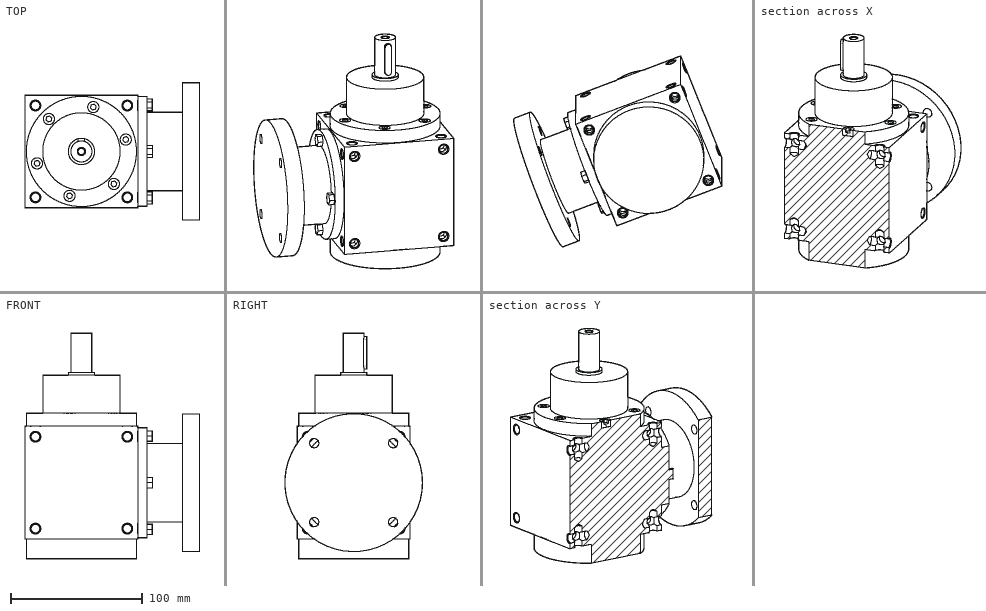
import cadquery as cq
import math


CUBE_SIZE = 86.0
HALF_CUBE = CUBE_SIZE / 2

COVER_DIAMETER = 84.0
TOP_COVER_HEIGHT = 10.0
BOTTOM_COVER_HEIGHT = 15.0
SIDE_PLATE_THICKNESS = 7.0

BOSS_DIAMETER = 59.0
BOSS_HEIGHT = 29.0
COLLAR_DIAMETER = 20.0
COLLAR_HEIGHT = 2.0
SHAFT_DIAMETER = 16.0
SHAFT_LENGTH = 30.0
CENTER_HOLE_DIAMETER = 4.92
CENTER_HOLE_DEPTH = 16.0
CENTER_HOLE_MOUTH = 6.3
KEY_WIDTH = 5.0
KEY_LENGTH = 25.0
KEY_HEIGHT = 5.0
KEY_PROTRUSION = 2.0
KEY_END_GAP = 2.5

NECK_DIAMETER = 60.0
FLANGE_DIAMETER = 105.0
FLANGE_THICKNESS = 13.0
FLANGE_FACE_X = 90.0
FLANGE_HOLE_DIAMETER = 7.0
FLANGE_HOLE_CIRCLE = 85.0
FLANGE_HOLE_COUNT = 4
FLANGE_HOLE_START_ANGLE = 45.0

BOLT_COUNT = 4
BOLT_CIRCLE = 71.0
BOLT_ACROSS_FLATS = 8.0
BOLT_HEAD_HEIGHT = 4.0

MOUNT_HOLE_SPACING = 70.0
MOUNT_HOLE_DIAMETER = 6.65
MOUNT_HOLE_MOUTH = 8.2
MOUNT_HOLE_DEPTH = 16.0

DRILL_POINT_ANGLE = 118.0
COUNTERSINK_ANGLE = 120.0

SCREW_COUNT = 6
SCREW_CIRCLE = 70.0
SCREW_START_ANGLE = 15.0
SCREW_HEAD_DIAMETER = 8.5
SCREW_HEAD_HEIGHT = 5.0
SOCKET_ACROSS_FLATS = 4.0
SOCKET_DEPTH = 2.5

TOP_COVER_Z = HALF_CUBE + TOP_COVER_HEIGHT
BOSS_Z = TOP_COVER_Z + BOSS_HEIGHT
COLLAR_Z = BOSS_Z + COLLAR_HEIGHT
SHAFT_END_Z = COLLAR_Z + SHAFT_LENGTH
SIDE_PLATE_X = HALF_CUBE + SIDE_PLATE_THICKNESS
FLANGE_BACK_X = FLANGE_FACE_X - FLANGE_THICKNESS


def corner_diameter(across_flats):
    """Diameter of the circle through the corners of a hexagon."""
    return across_flats / math.cos(math.radians(30))


def disc_along_z(diameter, z_start, z_end):
    return cq.Workplane("XY", origin=(0, 0, z_start)).circle(diameter / 2).extrude(z_end - z_start)


def disc_along_x(diameter, x_start, x_end):
    return cq.Workplane("YZ", origin=(x_start, 0, 0)).circle(diameter / 2).extrude(x_end - x_start)


def drilled_hole(diameter, mouth_diameter, depth):
    """Cutter for a blind hole: countersink, bore and drill point, going down from the origin."""
    radius = diameter / 2
    mouth_radius = mouth_diameter / 2
    countersink_depth = (mouth_radius - radius) / math.tan(math.radians(COUNTERSINK_ANGLE / 2))
    point_height = radius / math.tan(math.radians(DRILL_POINT_ANGLE / 2))
    return (
        cq.Workplane("XZ")
        .moveTo(0, 0)
        .lineTo(mouth_radius, 0)
        .lineTo(radius, -countersink_depth)
        .lineTo(radius, -depth)
        .lineTo(0, -depth - point_height)
        .close()
        .revolve(360, (0, 0, 0), (0, 1, 0))
    )


def mount_holes():
    """Cutters for the four corner holes in each of the six cube faces."""
    hole = drilled_hole(MOUNT_HOLE_DIAMETER, MOUNT_HOLE_MOUTH, MOUNT_HOLE_DEPTH).val()
    cutters = []
    for face_direction in ("<X", ">X", "<Y", ">Y", "<Z", ">Z"):
        face = cq.Workplane("XY").box(CUBE_SIZE, CUBE_SIZE, CUBE_SIZE).faces(face_direction).workplane()
        cutters += (
            face.rarray(MOUNT_HOLE_SPACING, MOUNT_HOLE_SPACING, 2, 2)
            .eachpoint(lambda location: hole.moved(location), useLocalCoordinates=True)
            .vals()
        )
    return cutters


def make_key():
    """Round-ended key standing out of the shaft towards +Y."""
    key_top_y = SHAFT_DIAMETER / 2 + KEY_PROTRUSION
    key_center_z = SHAFT_END_Z - KEY_END_GAP - KEY_LENGTH / 2
    return (
        cq.Workplane("XZ", origin=(0, key_top_y, key_center_z))
        .slot2D(KEY_LENGTH, KEY_WIDTH, 90)
        .extrude(KEY_HEIGHT)
    )


def make_bolt_heads():
    return (
        cq.Workplane("YZ", origin=(SIDE_PLATE_X, 0, 0))
        .polarArray(BOLT_CIRCLE / 2, 0, 360, BOLT_COUNT, rotate=False)
        .polygon(6, corner_diameter(BOLT_ACROSS_FLATS))
        .extrude(BOLT_HEAD_HEIGHT)
    )


def screw_places():
    """Points of the socket screws on the top cover."""
    return cq.Workplane("XY", origin=(0, 0, TOP_COVER_Z)).polarArray(
        SCREW_CIRCLE / 2, SCREW_START_ANGLE, 360, SCREW_COUNT
    )


def make_flange_holes():
    return (
        cq.Workplane("YZ", origin=(FLANGE_BACK_X, 0, 0))
        .polarArray(FLANGE_HOLE_CIRCLE / 2, FLANGE_HOLE_START_ANGLE, 360, FLANGE_HOLE_COUNT)
        .circle(FLANGE_HOLE_DIAMETER / 2)
        .extrude(FLANGE_THICKNESS)
    )


def make_screw_blanks():
    """Screw head cylinders, which also shape the recesses in the top cover."""
    return screw_places().circle(SCREW_HEAD_DIAMETER / 2).extrude(-SCREW_HEAD_HEIGHT)


def make_gearbox():
    body = cq.Workplane("XY").box(CUBE_SIZE, CUBE_SIZE, CUBE_SIZE)
    for cutter in mount_holes():
        body = body.cut(cq.Workplane(cutter))

    body = body.union(disc_along_z(COVER_DIAMETER, -HALF_CUBE - BOTTOM_COVER_HEIGHT, -HALF_CUBE))
    body = body.union(disc_along_z(COVER_DIAMETER, HALF_CUBE, TOP_COVER_Z))
    body = body.union(disc_along_z(BOSS_DIAMETER, TOP_COVER_Z, BOSS_Z))
    body = body.union(disc_along_z(COLLAR_DIAMETER, BOSS_Z, COLLAR_Z))
    body = body.union(disc_along_z(SHAFT_DIAMETER, COLLAR_Z, SHAFT_END_Z))
    body = body.union(make_key())
    center_hole = drilled_hole(CENTER_HOLE_DIAMETER, CENTER_HOLE_MOUTH, CENTER_HOLE_DEPTH)
    body = body.cut(center_hole.translate((0, 0, SHAFT_END_Z)))

    body = body.union(disc_along_x(COVER_DIAMETER, HALF_CUBE, SIDE_PLATE_X))
    body = body.union(disc_along_x(NECK_DIAMETER, SIDE_PLATE_X, FLANGE_BACK_X))
    body = body.union(disc_along_x(FLANGE_DIAMETER, FLANGE_BACK_X, FLANGE_FACE_X))
    body = body.union(make_bolt_heads())
    body = body.cut(make_flange_holes())

    return body.cut(make_screw_blanks())


def make_socket_screws():
    """Cylindrical screw heads with hexagon sockets, flush with the top cover."""
    sockets = (
        screw_places()
        .polygon(6, corner_diameter(SOCKET_ACROSS_FLATS))
        .extrude(-SOCKET_DEPTH)
    )
    return make_screw_blanks().cut(sockets)


gearbox = make_gearbox()
socket_screws = make_socket_screws()

result = cq.Compound.makeCompound([gearbox.val(), *socket_screws.solids().vals()])